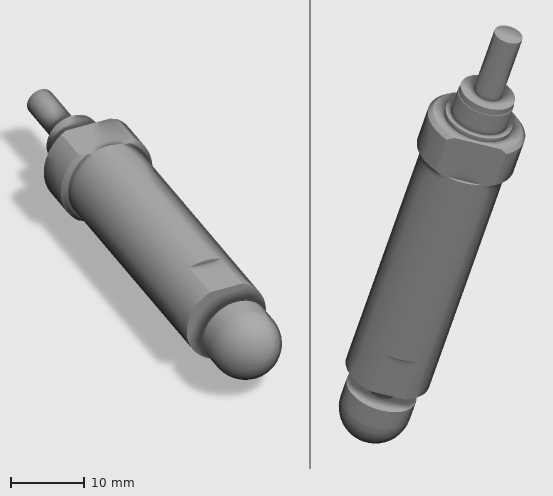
import cadquery as cq

total_length = 69.45
collar_start = 10.0
collar_step = 11.0
washer_start = 14.3
nut_start = 14.9
nut_end = 21.4
body_end = 58.5
head_start = 61.5

rod_diameter = 4.0
collar_front_diameter = 7.8
collar_diameter = 8.0
washer_diameter = 9.5
nut_diameter = 13.9
body_diameter = 12.0
head_diameter = 10.0

nut_chamfer = 0.55
across_flats = 11.0
body_flat_length = 6.5

head_radius = head_diameter / 2
dome_start = total_length - head_radius


def cylinder(start, end, diameter):
    """Cylinder on the X axis between two positions."""
    return cq.Workplane("YZ", origin=(start, 0, 0)).circle(diameter / 2).extrude(end - start)


def flat_sided(solid, start, end):
    """Cut parallel top and bottom flats along the whole stretch from start to end."""
    length = end - start
    middle = (start + end) / 2
    slab = cq.Workplane("XY").box(length, nut_diameter, across_flats).translate((middle, 0, 0))
    stretch = cq.Workplane("XY").box(length, nut_diameter, nut_diameter).translate((middle, 0, 0))
    return solid.cut(stretch.cut(slab))


def make_nut():
    """Round nut, chamfered at both ends and then flattened above and below."""
    nut = cylinder(nut_start, nut_end, nut_diameter).edges().chamfer(nut_chamfer)
    return flat_sided(nut, nut_start, nut_end)


def make_body():
    """Main barrel with wrench flats at its head end."""
    body = cylinder(nut_end, body_end, body_diameter)
    return flat_sided(body, body_end - body_flat_length, body_end)


def make_head():
    """Push button: a short cylinder with a hemispherical end, revolved about the X axis."""
    dome_mid = head_radius * 0.5 ** 0.5
    return (
        cq.Workplane("XY")
        .moveTo(head_start, 0)
        .lineTo(head_start, head_radius)
        .lineTo(dome_start, head_radius)
        .threePointArc((dome_start + dome_mid, dome_mid), (total_length, 0))
        .close()
        .revolve(360, (0, 0, 0), (1, 0, 0))
    )


result = (
    cylinder(0, dome_start, rod_diameter)
    .union(cylinder(collar_start, collar_step, collar_front_diameter))
    .union(cylinder(collar_step, washer_start, collar_diameter))
    .union(cylinder(washer_start, nut_start, washer_diameter))
    .union(make_nut())
    .union(make_body())
    .union(make_head())
)